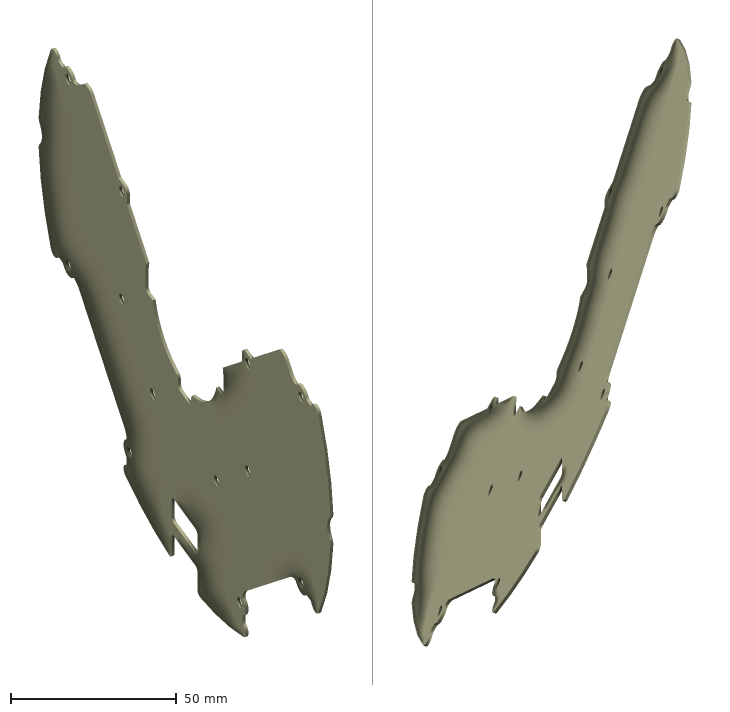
import cadquery as cq
import math

thickness = 1.0
outer_radius = 100.0

wing_half_width = 39.55

outer_diagonal_reach = 113.54
inner_diagonal_reach = 19.8
shoulder = outer_diagonal_reach - wing_half_width
peak_x = (outer_diagonal_reach + inner_diagonal_reach) / 2
peak_z = (outer_diagonal_reach - inner_diagonal_reach) / 2
peak_round = 3.8
wing_root_round = 6.0

tip_radius = 2.5
tip_half_width = 41.75
tip_z = tip_half_width - tip_radius
tip_x = math.sqrt((outer_radius - tip_radius) ** 2 - tip_z**2)
tip_contact_x = tip_x * outer_radius / (outer_radius - tip_radius)
tip_contact_z = tip_z * outer_radius / (outer_radius - tip_radius)

hole_diameter = 3.5
rim_hole_far = 79.65
rim_hole_near = 37.75
inner_hole_far = 43.1
inner_hole_near = 21.8
rim_boss_radius = 4.0
boss_blend_radius = 1.5
ear_half_width = 3.75
ear_round = 2.5

hub_radius = 22.4
recess_radius = 26.85
side_recess_floor_z = -5.1
bottom_recess_half_width = 4.6
recess_round = 1.7

side_notch_radius = 6.4
side_notch_floor_x = 97.6
side_notch_round = 3.0

window_half_width = 8.8
window_top_z = -74.1
window_bottom_z = -83.9
slot_top_z = -89.1
window_round = 1.5
slot_mouth_round = 1.7


def sketch_plane():
    return cq.Workplane("XZ")


def extrude(sketch):
    return sketch.extrude(thickness / 2, both=True)


def disc(x, z, radius):
    return extrude(sketch_plane().center(x, z).circle(radius))


def block(x_min, x_max, z_min, z_max):
    centre_x = (x_min + x_max) / 2
    centre_z = (z_min + z_max) / 2
    return extrude(sketch_plane().center(centre_x, centre_z).rect(x_max - x_min, z_max - z_min))


def round_corner(plate, x, z, radius):
    """Round the through-thickness edges nearest to (x, z) and to its mirror image."""
    for side in (-1, 1):
        corner = cq.selectors.NearestToPointSelector((side * x, 0, z))
        plate = plate.edges("|Y").edges(corner).fillet(radius)
    return plate


def make_blank():
    outline = (
        sketch_plane()
        .moveTo(0, -inner_diagonal_reach)
        .lineTo(-peak_x, peak_z)
        .lineTo(-shoulder, wing_half_width)
        .lineTo(-tip_x, wing_half_width)
        .lineTo(-tip_contact_x, tip_contact_z)
        .threePointArc((-outer_radius, 0), (-tip_contact_x, -tip_contact_z))
        .lineTo(-tip_x, -wing_half_width)
        .lineTo(-shoulder, -wing_half_width)
        .lineTo(-wing_half_width, -shoulder)
        .lineTo(-wing_half_width, -tip_x)
        .lineTo(-tip_contact_z, -tip_contact_x)
        .threePointArc((0, -outer_radius), (tip_contact_z, -tip_contact_x))
        .lineTo(wing_half_width, -tip_x)
        .lineTo(wing_half_width, -shoulder)
        .lineTo(shoulder, -wing_half_width)
        .lineTo(tip_x, -wing_half_width)
        .lineTo(tip_contact_x, -tip_contact_z)
        .threePointArc((outer_radius, 0), (tip_contact_x, tip_contact_z))
        .lineTo(tip_x, wing_half_width)
        .lineTo(shoulder, wing_half_width)
        .lineTo(peak_x, peak_z)
        .close()
    )
    plate = extrude(outline)
    plate = round_corner(plate, peak_x, peak_z, peak_round)
    for x, z in ((shoulder, wing_half_width), (shoulder, -wing_half_width), (wing_half_width, -shoulder)):
        plate = round_corner(plate, x, z, wing_root_round)
    return plate


def wing_points(far, near):
    """Two matching places on each of the two side wings and the bottom wing."""
    points = []
    for side in (-1, 1):
        points += [(side * far, near), (side * far, -near), (side * near, -far)]
    return points


def add_tips_and_bosses(plate):
    for x, z in wing_points(tip_x, tip_z):
        plate = plate.union(disc(x, z, tip_radius))
    for x, z in wing_points(rim_hole_far, rim_hole_near):
        plate = plate.union(disc(x, z, rim_boss_radius))

    depth = wing_half_width - rim_hole_near
    boss_foot = math.sqrt(rim_boss_radius**2 - depth**2)
    tip_foot = math.sqrt(tip_radius**2 - (wing_half_width - tip_z) ** 2)
    feet = (rim_hole_far - boss_foot, rim_hole_far + boss_foot, tip_x - tip_foot)
    for foot in feet:
        plate = round_corner(plate, foot, wing_half_width, boss_blend_radius)
        plate = round_corner(plate, foot, -wing_half_width, boss_blend_radius)
        plate = round_corner(plate, wing_half_width, -foot, boss_blend_radius)
    return plate


def add_ears(plate):
    """Square ears around the screw holes beside the upper diagonal edges."""
    for side in (-1, 1):
        ear = extrude(
            sketch_plane()
            .center(side * inner_hole_far, inner_hole_near)
            .rect(2 * ear_half_width, 2 * ear_half_width)
        )
        plate = plate.union(ear)
    return round_corner(plate, inner_hole_far - ear_half_width, inner_hole_near + ear_half_width, ear_round)


def cut_hub(plate):
    recess = disc(0, 0, recess_radius)
    side_zone = block(-recess_radius, recess_radius, side_recess_floor_z, recess_radius)
    bottom_zone = block(-bottom_recess_half_width, bottom_recess_half_width, -recess_radius, 0)
    plate = plate.cut(disc(0, 0, hub_radius))
    plate = plate.cut(recess.intersect(side_zone))
    plate = plate.cut(recess.intersect(bottom_zone))

    side_x = math.sqrt(recess_radius**2 - side_recess_floor_z**2)
    plate = round_corner(plate, side_x, side_recess_floor_z, recess_round)
    for radius in (recess_radius, hub_radius):
        z = -math.sqrt(radius**2 - bottom_recess_half_width**2)
        plate = round_corner(plate, bottom_recess_half_width, z, recess_round)
    return plate


def cut_side_notches(plate):
    centre_x = side_notch_floor_x + side_notch_radius
    for side in (-1, 1):
        plate = plate.cut(disc(side * centre_x, 0, side_notch_radius))
    corner_x = (outer_radius**2 + centre_x**2 - side_notch_radius**2) / (2 * centre_x)
    corner_z = math.sqrt(outer_radius**2 - corner_x**2)
    for z in (corner_z, -corner_z):
        plate = round_corner(plate, corner_x, z, side_notch_round)
    return plate


def cut_window_and_slot(plate):
    window = block(-window_half_width, window_half_width, window_bottom_z, window_top_z)
    plate = plate.cut(window.edges("|Y").fillet(window_round))
    plate = plate.cut(block(-window_half_width, window_half_width, -outer_radius, slot_top_z))
    mouth_z = -math.sqrt(outer_radius**2 - window_half_width**2)
    plate = round_corner(plate, window_half_width, slot_top_z, window_round)
    return round_corner(plate, window_half_width, mouth_z, slot_mouth_round)


def drill_holes(plate):
    holes = wing_points(rim_hole_far, rim_hole_near) + wing_points(inner_hole_far, inner_hole_near)
    for x, z in holes:
        plate = plate.cut(disc(x, z, hole_diameter / 2))
    return plate


plate = make_blank()
plate = add_tips_and_bosses(plate)
plate = add_ears(plate)
plate = cut_hub(plate)
plate = cut_side_notches(plate)
plate = cut_window_and_slot(plate)
result = drill_holes(plate)